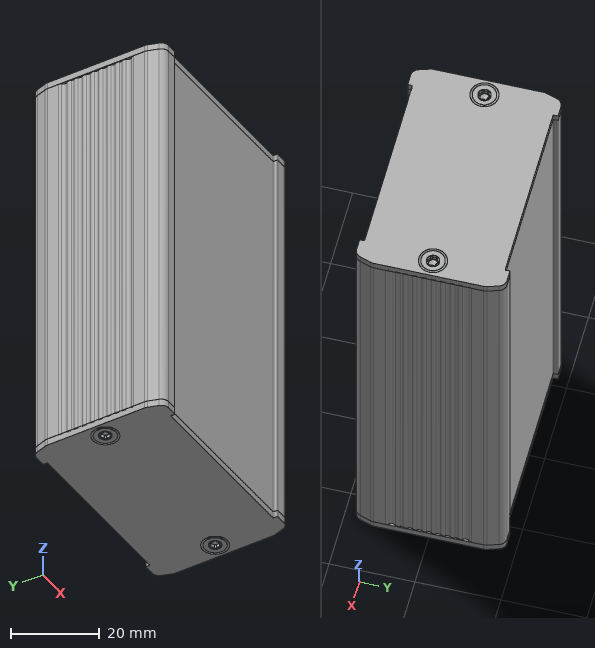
import cadquery as cq
import math

WIDTH = 55.0
DEPTH = 35.0
HEIGHT = 104.0
LID_THICKNESS = 1.8
HOUSING_HEIGHT = HEIGHT - 2 * LID_THICKNESS

PANEL_WIDTH = 43.9
PANEL_RECESS = 1.1
PANEL_ROUND = 0.2
SIDE_FLAT = 26.4
FLANK_ANGLE = 18.0
CORNER_RADIUS = 2.0
SIDE_RADIUS = 2.5

WAVE_RADIUS = 1.0
HALF_WAVE = 1.09
HALF_WAVES_PER_SIDE = 5
NARROW_TROUGH = 0.7
OUTER_TROUGH = 1.5
EDGE_ROUND = 0.7

SCREW_SPACING = 47.0
SCREW_LENGTH = 10.0
HEAD_DIAMETER = 5.5
SHANK_DIAMETER = 3.0
HEAD_HEIGHT = (HEAD_DIAMETER - SHANK_DIAMETER) / 2
CLEARANCE_DIAMETER = 3.4
COUNTERSINK_DIAMETER = 6.5
COUNTERSINK_ANGLE = 90

RIM_DIAMETER = 3.0
RIM_DEPTH = 0.2
SOCKET_LOBES = 6
LOBE_DIAMETER = 2.6
WAIST_DIAMETER = 2.1
RIDGE_RADIUS = 0.6
SOCKET_DEPTH = 1.0
SOCKET_CONE_DEPTH = 0.4

SIGNS = (-1, 1)
SCREW_POSITIONS = [(sx * SCREW_SPACING / 2, 0) for sx in SIGNS]


def round_upright_edges(prism, x, y, radius):
    """Fillet the four vertical edges at (+-x, +-y)."""
    reach = 0.1
    for sx in SIGNS:
        for sy in SIGNS:
            near = cq.selectors.BoxSelector(
                (sx * x - reach, sy * y - reach, -HEIGHT),
                (sx * x + reach, sy * y + reach, HEIGHT),
            )
            prism = prism.edges("|Z").edges(near).fillet(radius)
    return prism


def section_prism(height):
    """Prism of the shared cross-section, standing on z = 0."""
    x_side, y_face = WIDTH / 2, DEPTH / 2
    y_flank = SIDE_FLAT / 2
    x_corner = x_side - (y_face - y_flank) * math.tan(math.radians(FLANK_ANGLE))
    y_panel = y_face - PANEL_RECESS

    back = [(x_side, y_flank), (x_corner, y_face), (-x_corner, y_face), (-x_side, y_flank)]
    front = [(-x, -y) for x, y in back]
    prism = cq.Workplane("XY").polyline(back + front).close().extrude(height)
    prism = round_upright_edges(prism, x_corner, y_face, CORNER_RADIUS)
    prism = round_upright_edges(prism, x_side, y_flank, SIDE_RADIUS)

    panels = (
        cq.Workplane("XY")
        .pushPoints([(0, sy * y_face) for sy in SIGNS])
        .rect(PANEL_WIDTH, 2 * PANEL_RECESS)
        .extrude(height)
    )
    prism = prism.cut(panels)
    prism = round_upright_edges(prism, PANEL_WIDTH / 2, y_face, PANEL_ROUND)
    return round_upright_edges(prism, PANEL_WIDTH / 2, y_panel, PANEL_ROUND)


def arc_drop(half_chord):
    """Height of a wave arc above its chord."""
    return WAVE_RADIUS - math.sqrt(WAVE_RADIUS**2 - half_chord**2)


def wave_cutter(height):
    """Material outside the wavy grip on the +X side, standing on z = 0."""
    x_side = WIDTH / 2
    x_mid = x_side - arc_drop(EDGE_ROUND)

    ends = [HALF_WAVE * (0.5 + i) for i in range(HALF_WAVES_PER_SIDE + 1)]
    for chord in (NARROW_TROUGH, HALF_WAVE, OUTER_TROUGH):
        ends.append(ends[-1] + chord)
    nodes = [-y for y in reversed(ends)] + ends

    y_flat = ends[-1] + EDGE_ROUND
    y_round = y_flat - EDGE_ROUND / 2
    x_round = x_side - arc_drop(EDGE_ROUND / 2)

    path = cq.Workplane("XY").moveTo(x_side, -y_flat)
    path = path.threePointArc((x_round, -y_round), (x_mid, nodes[0]))
    bulge = -1
    for start, end in zip(nodes, nodes[1:]):
        x_peak = x_mid + bulge * arc_drop((end - start) / 2)
        path = path.threePointArc((x_peak, (start + end) / 2), (x_mid, end))
        bulge = -bulge
    path = path.threePointArc((x_round, y_round), (x_side, y_flat))
    return path.close().extrude(height)


def make_housing():
    """Housing between the lids, with the wavy grips and a hole for each screw."""
    cutter = wave_cutter(HOUSING_HEIGHT)
    housing = section_prism(HOUSING_HEIGHT).cut(cutter).cut(cutter.mirror("YZ"))
    hole_depth = SCREW_LENGTH - LID_THICKNESS
    for z, direction in ((0, 1), (HOUSING_HEIGHT, -1)):
        holes = (
            cq.Workplane("XY", origin=(0, 0, z))
            .pushPoints(SCREW_POSITIONS)
            .circle(SHANK_DIAMETER / 2)
            .extrude(direction * hole_depth)
        )
        housing = housing.cut(holes)
    return housing.translate((0, 0, -HOUSING_HEIGHT / 2))


def make_top_lid():
    """Top lid, in place, with its countersunk clearance holes."""
    return (
        section_prism(LID_THICKNESS)
        .faces(">Z")
        .workplane(origin=(0, 0, LID_THICKNESS))
        .pushPoints(SCREW_POSITIONS)
        .cskHole(CLEARANCE_DIAMETER, COUNTERSINK_DIAMETER, COUNTERSINK_ANGLE)
        .translate((0, 0, HOUSING_HEIGHT / 2))
    )


def screw_socket():
    """Six-lobe recess going down from z = 0."""
    rim = cq.Workplane("XY").circle(RIM_DIAMETER / 2).extrude(-RIM_DEPTH)
    ridges = (
        cq.Workplane("XY")
        .polarArray(WAIST_DIAMETER / 2 + RIDGE_RADIUS, 0, 360, SOCKET_LOBES)
        .circle(RIDGE_RADIUS)
        .extrude(-SOCKET_DEPTH)
    )
    lobes = cq.Workplane("XY").circle(LOBE_DIAMETER / 2).extrude(-SOCKET_DEPTH).cut(ridges)
    cone = cq.Solid.makeCone(
        WAIST_DIAMETER / 2, 0, SOCKET_CONE_DEPTH, cq.Vector(0, 0, -SOCKET_DEPTH), cq.Vector(0, 0, -1)
    )
    return rim.union(lobes).union(cq.Workplane(cone))


def make_screw():
    """Countersunk screw pointing down, the top of its head at z = 0."""
    profile = [
        (0, 0),
        (HEAD_DIAMETER / 2, 0),
        (SHANK_DIAMETER / 2, -HEAD_HEIGHT),
        (SHANK_DIAMETER / 2, -SCREW_LENGTH),
        (0, -SCREW_LENGTH),
    ]
    blank = cq.Workplane("XZ").polyline(profile).close().revolve(360, (0, 0), (0, 1))
    return blank.cut(screw_socket())


housing = make_housing()
top_lid = make_top_lid()
bottom_lid = top_lid.mirror("XY")

screws = []
for x, y in SCREW_POSITIONS:
    top_screw = make_screw().translate((x, y, HEIGHT / 2))
    screws.append(top_screw)
    screws.append(top_screw.mirror("XY"))

result = cq.Compound.makeCompound([
    housing.solids().val(),
    top_lid.solids().val(),
    bottom_lid.solids().val(),
    *[screw.solids().val() for screw in screws],
])